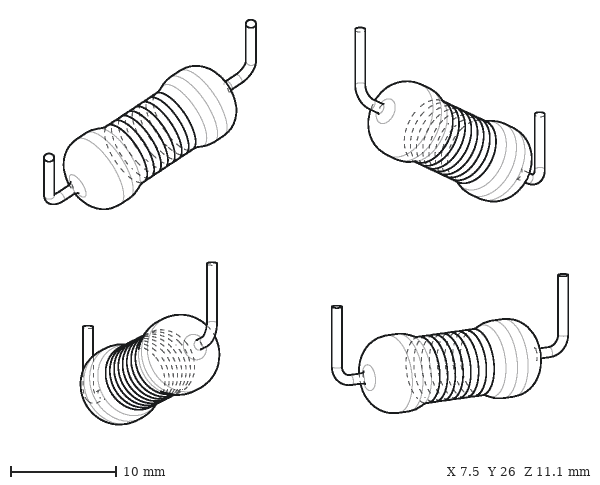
import cadquery as cq
import math


span = 26.0
wire_diameter = 1.0
bend_radius = 1.5
body_diameter = 7.5
overall_height = 11.1

shoulder_inner = 5.23
shoulder_outer = 6.4
dome_radius = 2.6
neck_fillet = 0.78

waist_diameter = 6.37
band_diameter = 6.4
band_width = 0.85
band_count = 4

wire_radius = wire_diameter / 2
body_radius = body_diameter / 2
waist_radius = waist_diameter / 2
waist_half = (2 * band_count - 1) * band_width / 2

dome_center_radius = body_radius - dome_radius
neck_center_radius = wire_radius + neck_fillet
center_distance = dome_radius + neck_fillet
neck_angle = math.acos((neck_center_radius - dome_center_radius) / center_distance)
neck_end = shoulder_outer + center_distance * math.sin(neck_angle)


def arc_point(center_radius, center_y, radius, angle):
    """Point on an arc in the half section, angle measured from the radial direction."""
    return (center_radius + radius * math.cos(angle), center_y + radius * math.sin(angle))


def make_end():
    """Revolve one end of the body, from the waist out to the bare wire."""
    dome_mid = arc_point(dome_center_radius, shoulder_outer, dome_radius, neck_angle / 2)
    dome_end = arc_point(dome_center_radius, shoulder_outer, dome_radius, neck_angle)
    fillet_mid_angle = (neck_angle + 2 * math.pi) / 2
    neck_mid = arc_point(neck_center_radius, neck_end, neck_fillet, fillet_mid_angle)
    transition_mid = ((waist_radius + body_radius) / 2, (waist_half + shoulder_inner) / 2)
    rise = transition_mid[0] - waist_radius
    run = transition_mid[1] - waist_half
    arc_radius = (rise**2 + run**2) / (2 * rise)
    half_turn = math.atan2(rise, run)
    waist_arc_mid = arc_point(waist_radius + arc_radius, waist_half, arc_radius, math.pi - half_turn)
    profile = (
        cq.Workplane("XY")
        .moveTo(0, waist_half)
        .lineTo(waist_radius, waist_half)
        .threePointArc(waist_arc_mid, transition_mid)
        .tangentArcPoint((body_radius, shoulder_inner), relative=False)
        .lineTo(body_radius, shoulder_outer)
        .threePointArc(dome_mid, dome_end)
        .threePointArc(neck_mid, (wire_radius, neck_end))
        .lineTo(0, neck_end)
        .close()
    )
    return profile.revolve(360, (0, 0, 0), (0, 1, 0))


def make_cylinder(diameter, start, length):
    """Cylinder on the body axis, running from start along +Y."""
    return cq.Workplane("XZ", origin=(0, start, 0)).circle(diameter / 2).extrude(-length)


def make_waist():
    """Plain core with raised bands separated by gaps of one band width."""
    waist = make_cylinder(waist_diameter, -waist_half, 2 * waist_half)
    for index in range(band_count):
        start = -waist_half + 2 * index * band_width
        waist = waist.union(make_cylinder(band_diameter, start, band_width))
    return waist


def make_lead():
    """Wire leaving the neck along +Y and bending up to +Z."""
    lead_y = span / 2 - wire_radius
    bend_start = lead_y - bend_radius
    lead_top = overall_height - body_radius
    path = (
        cq.Workplane("YZ")
        .moveTo(neck_end, 0)
        .lineTo(bend_start, 0)
        .tangentArcPoint((lead_y, bend_radius), relative=False)
        .lineTo(lead_y, lead_top)
    )
    return cq.Workplane("XZ", origin=(0, neck_end, 0)).circle(wire_radius).sweep(path)


end = make_end().union(make_lead())
result = make_waist().union(end).union(end.mirror("XZ"))